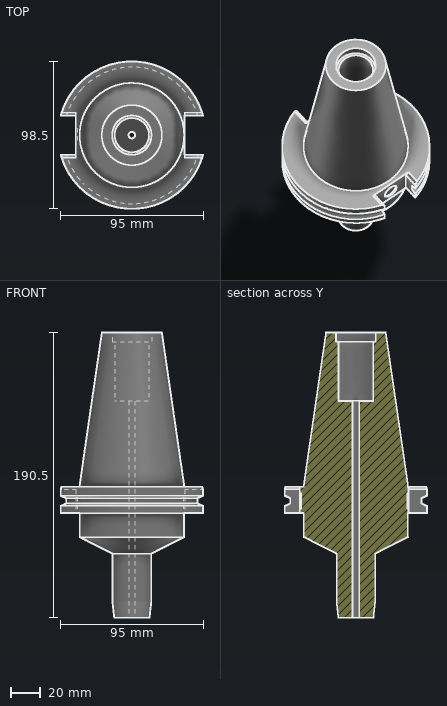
import cadquery as cq
import math

total_length = 190.5
tip_length = 10.9
nose_base = 42.9
collar_base = 54.0
flange_base = 70.0
flange_top = 87.6
gauge_height = 89.0

tip_radius = 11.8
shank_radius = 26.1 / 2
body_radius = 34.9
taper_end_radius = body_radius - (total_length - gauge_height) * 7 / 48
flange_radius = 98.5 / 2

groove_root_radius = 45.7
groove_center = 78.1
groove_root_width = 3.5
groove_mouth_width = 6.9

slot_width = 26.0
left_slot_floor_x = -37.5
right_slot_floor_x = 35.2
slot_chamfer_width = 2.1
slot_chamfer_height = 2.0
dimple_radius = 5.0
dimple_depth = 1.0

counterbore_radius = 13.1
counterbore_depth = 6.3
bore_radius = 11.5
bore_depth = 45.7
coolant_radius = 2.1


def turned_body():
    """Revolve the tip, shank, nose, flange and taper about Z."""
    groove_mouth_low = groove_center - groove_mouth_width / 2
    groove_mouth_high = groove_center + groove_mouth_width / 2
    groove_root_low = groove_center - groove_root_width / 2
    groove_root_high = groove_center + groove_root_width / 2
    profile = [
        (0, 0),
        (tip_radius, 0),
        (shank_radius, tip_length),
        (shank_radius, nose_base),
        (body_radius, collar_base),
        (body_radius, flange_base),
        (flange_radius, flange_base),
        (flange_radius, groove_mouth_low),
        (groove_root_radius, groove_root_low),
        (groove_root_radius, groove_root_high),
        (flange_radius, groove_mouth_high),
        (flange_radius, flange_top),
        (body_radius, flange_top),
        (body_radius, gauge_height),
        (taper_end_radius, total_length),
        (0, total_length),
    ]
    return cq.Workplane("XZ").polyline(profile).close().revolve(360, (0, 0), (0, 1))


def drive_slot(floor_x):
    """Slot cutter with flared upper edges, from its floor out to the flange rim."""
    half_width = slot_width / 2
    flared_half_width = half_width + slot_chamfer_width
    chamfer_base = flange_top - slot_chamfer_height
    section = [
        (-half_width, flange_base),
        (half_width, flange_base),
        (half_width, chamfer_base),
        (flared_half_width, flange_top),
        (-flared_half_width, flange_top),
        (-half_width, chamfer_base),
    ]
    return (
        cq.Workplane("YZ", origin=(floor_x, 0, 0))
        .polyline(section)
        .close()
        .extrude(math.copysign(flange_radius, floor_x) - floor_x)
    )


def slot_dimple(floor_x):
    """Shallow round recess in the floor of a drive slot."""
    return (
        cq.Workplane("YZ", origin=(floor_x, 0, groove_center))
        .circle(dimple_radius)
        .extrude(-math.copysign(dimple_depth, floor_x))
    )


def axial_hole(radius, depth):
    """Round hole going down from the small end of the taper."""
    return cq.Workplane("XY", origin=(0, 0, total_length)).circle(radius).extrude(-depth)


result = turned_body()
for slot_floor_x in (left_slot_floor_x, right_slot_floor_x):
    result = result.cut(drive_slot(slot_floor_x)).cut(slot_dimple(slot_floor_x))

result = result.cut(axial_hole(counterbore_radius, counterbore_depth))
result = result.cut(axial_hole(bore_radius, bore_depth))
result = result.cut(axial_hole(coolant_radius, total_length))